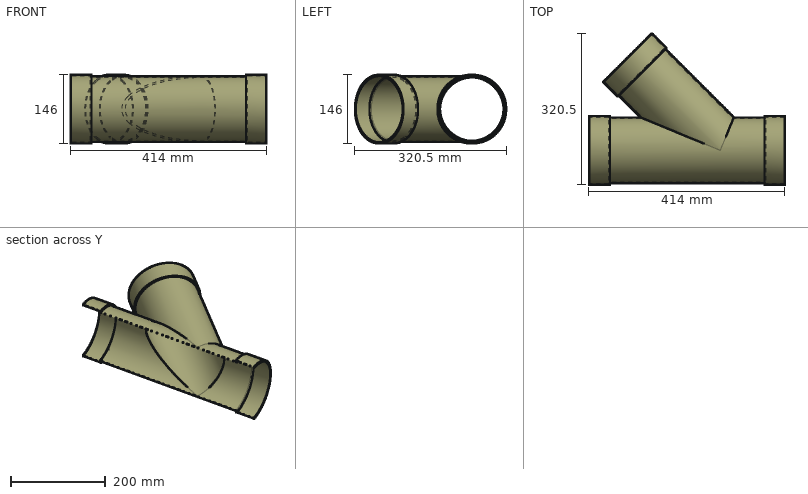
import math

import cadquery as cq

WALL = 3.0
PIPE_OUTER_R = 140.0 / 2
PIPE_INNER_R = PIPE_OUTER_R - WALL
SOCKET_OUTER_R = PIPE_OUTER_R + WALL
SOCKET_INNER_R = PIPE_OUTER_R
SOCKET_LENGTH = 43.5

BRANCH_ANGLE = 45.0
LONG_LEG = 277.0
SHORT_LEG = 137.0

LEGS = [
    (0.0, SHORT_LEG),
    (180.0, LONG_LEG),
    (180.0 - BRANCH_ANGLE, LONG_LEG),
]


def turned_leg(profile, angle):
    """Revolve a closed half profile about X, then turn the leg to its direction."""
    leg = profile.close().revolve(360, (0, 0, 0), (1, 0, 0))
    return leg.rotate((0, 0, 0), (0, 0, 1), angle)


def outer_leg(angle, length):
    """Solid leg: pipe outside with a square step up to the socket outside."""
    step = length - SOCKET_LENGTH
    profile = (
        cq.Workplane("XY")
        .lineTo(0, PIPE_OUTER_R)
        .lineTo(step, PIPE_OUTER_R)
        .lineTo(step, SOCKET_OUTER_R)
        .lineTo(length, SOCKET_OUTER_R)
        .lineTo(length, 0)
    )
    return turned_leg(profile, angle)


def bore_leg(angle, length):
    """Bore of a leg: its rounded lip stays one wall thickness from the outer step."""
    step = length - SOCKET_LENGTH
    lip_offset = WALL * math.sqrt(0.5)
    profile = (
        cq.Workplane("XY")
        .lineTo(0, PIPE_INNER_R)
        .lineTo(step, PIPE_INNER_R)
        .threePointArc(
            (step + lip_offset, PIPE_OUTER_R - lip_offset),
            (step + WALL, SOCKET_INNER_R),
        )
        .lineTo(length, SOCKET_INNER_R)
        .lineTo(length, 0)
    )
    return turned_leg(profile, angle)


def joined_legs(leg_shape):
    """All three legs of one kind, merged where they meet at the axis crossing."""
    body = cq.Workplane("XY")
    for angle, length in LEGS:
        body = body.union(leg_shape(angle, length))
    return body


result = joined_legs(outer_leg).cut(joined_legs(bore_leg))